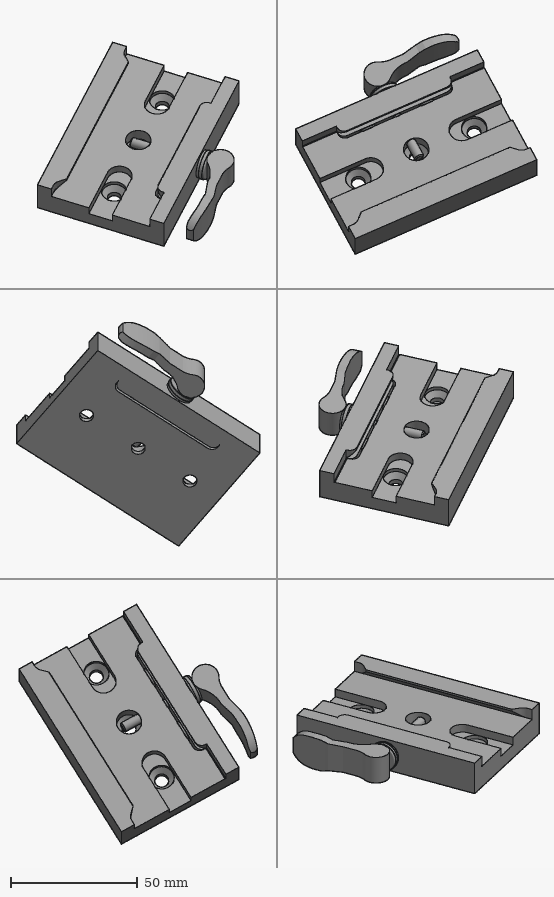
import cadquery as cq
import math

plate_width = 54.0
plate_length = 80.0
plate_height = 14.0
mid_z = plate_height / 2
half_width = plate_width / 2

wall_thickness = 6.0
channel_depth = 4.5
lip_overhang = 3.6
floor_z = plate_height - channel_depth
lip_edge_height = channel_depth - lip_overhang
wall_x = half_width - wall_thickness
lip_x = wall_x - lip_overhang
fixed_lip_half_length = 32.8
lip_runout_radius = 4.0
relief_width = 0.4
relief_depth = 0.1

slot_width = 10.0
slot_depth = 3.5
slot_inner_y = 20.0
screw_spacing = 25.5
screw_hole_diameter = 5.5
head_diameter = slot_width
head_recess = 1.6
slot_floor_z = floor_z - slot_depth
cone_top_z = slot_floor_z - head_recess

jaw_length = 50.0
jaw_half_length = jaw_length / 2
jaw_gap = 1.0
jaw_corner_radius = 3.0

rod_diameter = 4.0
rod_end_x = -3.0
rod_end_chamfer = 0.5
guide_key_spacing = 13.0
guide_key_width = 9.0
guide_key_height = 7.2
guide_key_top_gap = 0.5

collar_diameter = 11.5
collar_length = 3.4
collar_rounding = 0.4
ring_diameter = 12.0
ring_start = 1.0
ring_length = 1.4

overall_width = 67.5
hub_diameter = 10.8
hub_radius = hub_diameter / 2
hub_x = overall_width - half_width - hub_radius
hub_height = 11.8
grip_height = 14.4
arm_end_y = -13.0
grip_inner_x = 36.2
grip_outer_x = 39.9
grip_start_y = -19.0
grip_start_half_height = 6.2
grip_shoulder_y = -21.9
grip_shoulder_half_height = 7.0
grip_peak_y = -25.8
grip_fall_y = -29.5
grip_fall_half_height = 6.9
lever_tip_y = -36.2
tip_half_height = 2.8


def box(x_min, x_max, y_min, y_max, z_min, z_max):
    size = (x_max - x_min, y_max - y_min, z_max - z_min)
    return cq.Workplane("XY").box(*size, centered=False).translate((x_min, y_min, z_min))


def cylinder_x(diameter, x_min, x_max):
    """Cylinder along X at Y = 0 and mid height."""
    circle = cq.Workplane("YZ", origin=(x_min, 0, mid_z)).circle(diameter / 2)
    return circle.extrude(x_max - x_min)


def dovetail_lip(half_length):
    """Overhanging lip on the +X wall: square edge on top, 45 degrees below."""
    return (
        cq.Workplane("XZ", origin=(0, half_length, 0))
        .moveTo(wall_x, floor_z)
        .lineTo(lip_x, plate_height - lip_edge_height)
        .lineTo(lip_x, plate_height)
        .lineTo(wall_x, plate_height)
        .close()
        .extrude(2 * half_length)
    )


def plate_body():
    """Block with the dovetail channel and a shallow relief along the foot of the +X wall."""
    plate = box(-half_width, half_width, -plate_length / 2, plate_length / 2, 0, plate_height)
    channel = box(-wall_x, wall_x, -plate_length / 2, plate_length / 2, floor_z, plate_height)
    relief_x = wall_x - relief_width
    relief = box(relief_x, wall_x, -plate_length / 2, plate_length / 2, floor_z - relief_depth, floor_z)
    return plate.cut(channel).cut(relief)


def fixed_lip():
    """Lip on the -X wall whose ends run out at 45 degrees and blend into the wall."""
    corner_y = fixed_lip_half_length + lip_overhang
    half_turn = math.radians(45) / 2
    tangent = lip_runout_radius * math.tan(half_turn)
    diagonal = tangent * math.sqrt(0.5)
    arc_centre = (-wall_x + lip_runout_radius, corner_y + tangent)
    arc_mid = (
        arc_centre[0] - lip_runout_radius * math.cos(half_turn),
        arc_centre[1] - lip_runout_radius * math.sin(half_turn),
    )
    half_plan = (
        cq.Workplane("XY")
        .moveTo(-half_width, 0)
        .lineTo(-lip_x, 0)
        .lineTo(-lip_x, fixed_lip_half_length)
        .lineTo(-wall_x + diagonal, corner_y - diagonal)
        .threePointArc(arc_mid, (-wall_x, corner_y + tangent))
        .lineTo(-half_width, corner_y + tangent)
        .close()
        .extrude(plate_height)
    )
    plan = half_plan.union(half_plan.mirror("XZ"))
    return dovetail_lip(plate_length / 2).mirror("YZ").intersect(plan)


def screw_hole(y):
    """Through hole with a 90 degree countersink below a straight head recess."""
    cone_depth = (head_diameter - screw_hole_diameter) / 2
    return (
        cq.Workplane("XZ", origin=(0, y, 0))
        .lineTo(screw_hole_diameter / 2, 0)
        .lineTo(screw_hole_diameter / 2, cone_top_z - cone_depth)
        .lineTo(head_diameter / 2, cone_top_z)
        .lineTo(head_diameter / 2, floor_z)
        .lineTo(0, floor_z)
        .close()
        .revolve(360, (0, 0, 0), (0, 1, 0))
    )


def end_slot(side):
    slot_length = plate_length / 2 - slot_inner_y
    start = cq.Workplane("XY", origin=(0, side * slot_inner_y, slot_floor_z))
    straight = start.center(0, side * slot_length / 2).rect(slot_width, slot_length).extrude(slot_depth)
    return start.circle(slot_width / 2).extrude(slot_depth).union(straight)


def jaw_block(left_x):
    """Full-height block from left_x to the +X side, rounded at its two inner corners."""
    block = box(left_x, half_width, -jaw_half_length, jaw_half_length, 0, plate_height)
    return block.edges("|Z and <X").fillet(jaw_corner_radius)


def moving_jaw():
    block = jaw_block(lip_x)
    channel = box(lip_x, wall_x, -jaw_half_length, jaw_half_length, floor_z, plate_height)
    return block.cut(channel).union(block.intersect(dovetail_lip(jaw_half_length)))


def guide_key(y):
    """Flat-sided key with round edges that crosses the gap under the channel floor."""
    centre_z = floor_z - guide_key_top_gap - guide_key_height / 2
    section = cq.Workplane("YZ", origin=(lip_x - jaw_gap, y, centre_z))
    return section.slot2D(guide_key_width, guide_key_height).extrude(jaw_gap)


def draw_rod():
    return cylinder_x(rod_diameter, rod_end_x, half_width).faces("<X").chamfer(rod_end_chamfer)


def collar():
    ring_x = half_width + ring_start
    body = cylinder_x(collar_diameter, half_width, half_width + collar_length)
    body = body.faces(">X").edges().fillet(collar_rounding)
    return body.union(cylinder_x(ring_diameter, ring_x, ring_x + ring_length))


def lever_plan():
    """Outline seen from above: narrow arm leaving the hub, then a bowed grip with a rounded tip."""
    neck_inner = (31.0, -3.4)
    neck_inner_bend = (33.5, -7.0)
    neck_outer = (40.2, -1.7)
    neck_outer_bend = (39.2, -4.0)
    neck_end_y = -6.4
    arm_inner_x = 34.7
    arm_outer_x = 38.6
    grip_inner_bend = (35.8, grip_fall_y)
    grip_outer_bend = (39.4, grip_fall_y)
    tip_inner_x = 34.9
    tip_inner_y = -34.0
    tip_middle = (36.6, lever_tip_y)
    tip_outer_x = 38.0
    tip_start_y = -35.8
    outline = (
        cq.Workplane("XY", origin=(0, 0, mid_z))
        .moveTo(*neck_inner)
        .threePointArc(neck_inner_bend, (arm_inner_x, arm_end_y))
        .lineTo(grip_inner_x, grip_start_y)
        .lineTo(grip_inner_x, grip_peak_y)
        .threePointArc(grip_inner_bend, (tip_inner_x, tip_inner_y))
        .lineTo(tip_inner_x, tip_start_y)
        .threePointArc(tip_middle, (tip_outer_x, tip_start_y))
        .threePointArc(grip_outer_bend, (grip_outer_x, grip_start_y))
        .lineTo(arm_outer_x, arm_end_y)
        .lineTo(arm_outer_x, neck_end_y)
        .threePointArc(neck_outer_bend, neck_outer)
        .lineTo(hub_x, 0)
        .close()
        .extrude(grip_height, both=True)
    )
    hub = cq.Workplane("XY", origin=(hub_x, 0, mid_z)).circle(hub_radius).extrude(grip_height, both=True)
    return outline.union(hub)


def lever_side_profile():
    """Side shape, symmetric about mid height: flat hub and arm, raised grip, rounded-off tip."""
    tip_round_middle = (-33.8, 5.2)
    upper_half = (
        cq.Workplane("YZ", origin=(half_width, 0, mid_z))
        .moveTo(2 * hub_radius, 0)
        .lineTo(2 * hub_radius, hub_height / 2)
        .lineTo(arm_end_y, hub_height / 2)
        .lineTo(grip_start_y, grip_start_half_height)
        .lineTo(grip_shoulder_y, grip_shoulder_half_height)
        .lineTo(grip_peak_y, grip_height / 2)
        .lineTo(grip_fall_y, grip_fall_half_height)
        .threePointArc(tip_round_middle, (lever_tip_y, tip_half_height))
        .lineTo(lever_tip_y, 0)
        .close()
        .extrude(half_width)
    )
    return upper_half.union(upper_half.mirror("XY", (0, 0, mid_z)))


result = plate_body().union(fixed_lip())
for hole_y in (-screw_spacing, 0, screw_spacing):
    result = result.cut(screw_hole(hole_y))
for side in (-1, 1):
    result = result.cut(end_slot(side))

result = result.cut(jaw_block(lip_x - jaw_gap)).union(moving_jaw())
for side in (-1, 1):
    result = result.union(guide_key(side * guide_key_spacing))

cam_lever = lever_plan().intersect(lever_side_profile())
result = result.union(draw_rod()).union(collar()).union(cam_lever)